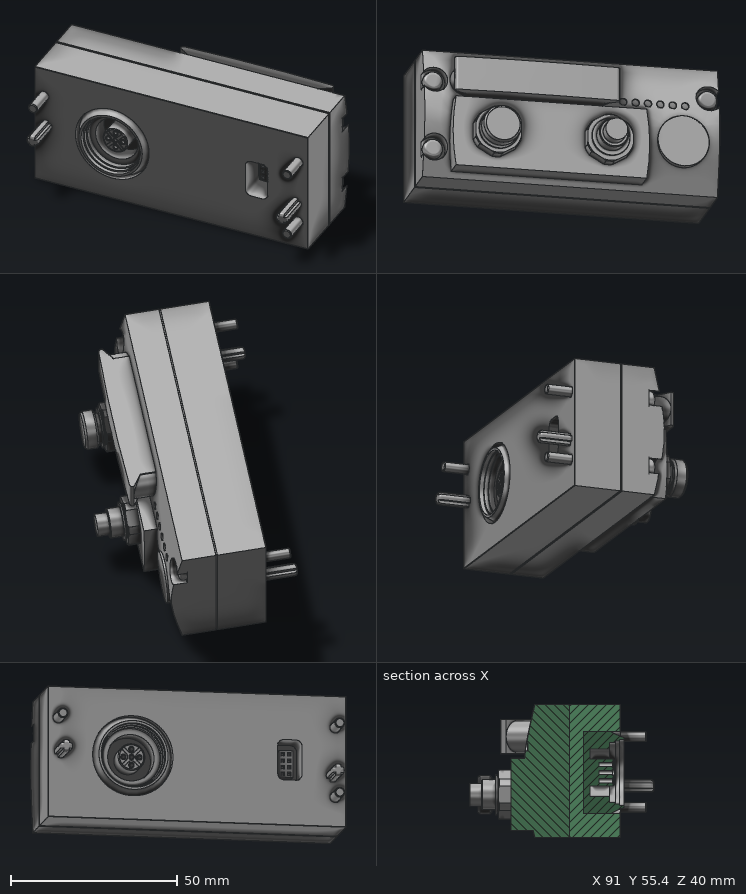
import cadquery as cq
import math


LENGTH = 91.0
HEIGHT = 40.0
BASE_DEPTH = 14.9
BASE_EDGE_CHAMFER = 0.14
SEAM_WIDTH = 0.5
SEAM_INSET = 0.2
COVER_START = BASE_DEPTH + SEAM_WIDTH
COVER_EDGE_Y = 25.75
COVER_CROWN_Y = 29.0
COVER_EDGE_SLOPE = 0.23
RAISED_ROOT_Y = 24.1

SCREW_PLACES = [(-42.4, 10.4), (42.2, 10.4), (42.2, -10.9)]
SCREW_DIAMETER = 3.0
SCREW_HOLE_DIAMETER = 3.3
SCREW_TIP_Y = -7.9
SCREW_TIP_CHAMFER = 0.3
SCREW_HEAD_DIAMETER = 6.0
SCREW_HEAD_HEIGHT = 2.3
SCREW_HEAD_RADIUS = 1.1
SCREW_SEAT_Y = 24.1
SCREW_RECESS_DIAMETER = 8.0

KEY_PLACES = [(-41.7, 0.0), (41.4, -4.5)]
KEY_SPAN = 3.8
KEY_ARM_WIDTH = 1.6
KEY_LENGTH = 10.1
KEY_TIP_RADIUS = 1.0
KEY_ROOT_Y = 0.9

HEADER_X = 28.4
HEADER_POCKET = (7.5, 12.4)
HEADER_POCKET_RADIUS = 2.0
HEADER_POCKET_DEPTH = 9.1
HEADER_BLOCK = (4.2, 8.2)
HEADER_BLOCK_HEIGHT = 2.7
HEADER_CONTACT_SIZE = 1.0
HEADER_CONTACT_DEPTH = 1.8
HEADER_COLUMNS = 2
HEADER_ROWS = 4
HEADER_PITCH = 2.0

SOCKET_X = -19.7
SOCKET_Z = -0.5
SOCKET_RADIUS = 12.3
SOCKET_SEAT_Y = 10.9
SOCKET_CONE_Y = 2.7
SOCKET_FACE_Y = -1.2
SOCKET_FACE_RADIUS = 10.6
SOCKET_MOUTH_RADIUS = 9.8
SOCKET_BORE_RADIUS = 8.9
SOCKET_MOUTH_Y = 0.2
SOCKET_STEP_RADIUS = 9.4
SOCKET_STEP_Y = 1.5
SOCKET_LEDGE_Y = 3.2
SOCKET_WELL_RADIUS = 7.1
SOCKET_WELL_Y = 9.1
INSERT_RADIUS = 4.1
INSERT_FACE_Y = 1.8
INSERT_CHAMFER = 0.4
CONTACT_PITCH_RADIUS = 2.5
OUTER_CONTACT_COUNT = 4
CONTACT_HOLE_DIAMETER = 1.1
CONTACT_MOUTH_DIAMETER = 1.6
CONTACT_HOLE_DEPTH = 4.55
CONTACT_MOUTH_DEPTH = 0.3
INSERT_RIB_WIDTH = 0.9
INSERT_RIB_HEIGHT = 0.3
INSERT_RIB_FILLET = 1.4

HOLDER_X_MIN = -13.4
HOLDER_X_MAX = 37.5
HOLDER_Z_MIN = 5.2
HOLDER_Z_MAX = 15.6
HOLDER_END_Y = 35.5
HOLDER_MIDDLE_Y = 36.0
HOLDER_LIP_Y = 34.3
HOLDER_LIP_LENGTH = 4.1
HOLDER_LIP_DROP = 2.7
HOLDER_END_WIDTH = 9.5
HOLDER_END_RADIUS = 1.1

BLOCK_X_MIN = -22.9
BLOCK_X_MAX = 37.7
BLOCK_Z_MIN = -17.9
BLOCK_Z_MAX = 3.9
BLOCK_TOP_Y = 32.9
BLOCK_END_BULGE = 0.9

DISC_X = -34.2
DISC_Z = -4.1
DISC_RADIUS = 7.9
DISC_TOP_Y = 29.6
DIMPLE_COUNT = 6
DIMPLE_START_X = -34.9
DIMPLE_PITCH = 3.8
DIMPLE_Z = 7.3
DIMPLE_DIAMETER = 2.3
DIMPLE_FLOOR_Y = 27.85

CONNECTOR_Z = -7.1
PLUG_X = -10.0
JACK_X = 24.5
NUT_ACROSS_FLATS = 14.0
NUT_CORNER_DIAMETER = 14.9
NUT_TOP_Y = 36.7
NUT_BEVEL = 0.3
WASHER_GROOVE_Y = 37.0
WASHER_GROOVE_RADIUS = 5.4
WASHER_TOP_Y = 37.6
PLUG_WASHER_RADIUS = 5.8
PLUG_COLLAR_RADIUS = 9.0 / 2
PLUG_COLLAR_Y = 41.7
PLUG_COLLAR_CHAMFER = 0.3
PLUG_TIP_RADIUS = 6.8 / 2
PLUG_TIP_Y = 45.3
JACK_WASHER_RADIUS = 6.1
JACK_NECK_RADIUS = 4.6
JACK_RING_Y = 38.6
JACK_RING_RADIUS = 5.8
JACK_RING_CHAMFER = 0.6
JACK_TOP_Y = 42.9


def cylinder(diameter, y_start, y_end, x=0.0, z=0.0):
    """Cylinder along Y between two depths."""
    profile = cq.Workplane("XZ", origin=(x, y_start, z)).circle(diameter / 2)
    return profile.extrude(y_start - y_end)


def box(x_limits, y_limits, z_limits):
    """Box between limits on each axis."""
    limits = (x_limits, y_limits, z_limits)
    size = [high - low for low, high in limits]
    corner = cq.Vector(*[low for low, high in limits])
    return cq.Workplane(obj=cq.Solid.makeBox(*size, pnt=corner))


def turned(profile):
    """Solid turned about the Y axis from (radius, y) points."""
    outline = cq.Workplane("XY").polyline(profile).close()
    return outline.revolve(360, (0, 0), (0, 1))


def key(x, z):
    """Cross-shaped key with a rounded tip."""
    post = cylinder(KEY_SPAN, -KEY_LENGTH, KEY_ROOT_Y).faces("<Y").edges().fillet(KEY_TIP_RADIUS)
    arms = (
        cq.Workplane("XZ", origin=(0, KEY_ROOT_Y, 0))
        .rect(KEY_SPAN, KEY_ARM_WIDTH)
        .extrude(KEY_LENGTH + KEY_ROOT_Y)
    )
    cross = arms.union(arms.rotate((0, 0, 0), (0, 1, 0), 90))
    return post.intersect(cross).translate((x, 0, z))


def header_pocket():
    """Round-cornered pocket for the plug-in header."""
    width, height = HEADER_POCKET
    pocket = box(
        (HEADER_X - width / 2, HEADER_X + width / 2),
        (0, HEADER_POCKET_DEPTH),
        (-height / 2, height / 2),
    )
    return pocket.edges("|Y").fillet(HEADER_POCKET_RADIUS)


def header_block():
    """Header standing on the pocket floor, with a grid of square contacts."""
    face_y = HEADER_POCKET_DEPTH - HEADER_BLOCK_HEIGHT
    width, height = HEADER_BLOCK
    block = box(
        (HEADER_X - width / 2, HEADER_X + width / 2),
        (face_y, HEADER_POCKET_DEPTH),
        (-height / 2, height / 2),
    )
    contacts = (
        cq.Workplane("XZ", origin=(HEADER_X, face_y, 0))
        .rarray(HEADER_PITCH, HEADER_PITCH, HEADER_COLUMNS, HEADER_ROWS)
        .rect(HEADER_CONTACT_SIZE, HEADER_CONTACT_SIZE)
        .extrude(-HEADER_CONTACT_DEPTH)
    )
    return block.cut(contacts)


def make_base():
    """Front half of the housing, with the coding keys and the header."""
    half_length = LENGTH / 2
    half_height = HEIGHT / 2
    base = box(
        (-half_length, half_length), (0, BASE_DEPTH), (-half_height, half_height)
    )
    base = base.faces("<Y").edges().chamfer(BASE_EDGE_CHAMFER)
    rim_length = half_length - SEAM_INSET
    rim_height = half_height - SEAM_INSET
    rim = box(
        (-rim_length, rim_length), (BASE_DEPTH, COVER_START), (-rim_height, rim_height)
    )
    base = base.union(rim)

    base = base.cut(cylinder(2 * SOCKET_RADIUS, 0, SOCKET_SEAT_Y, SOCKET_X, SOCKET_Z))
    base = base.cut(header_pocket()).union(header_block())
    for x, z in SCREW_PLACES:
        base = base.cut(cylinder(SCREW_HOLE_DIAMETER, 0, COVER_START, x, z))
    for x, z in KEY_PLACES:
        base = base.union(key(x, z))
    return base


def cover_shell():
    """Rear half of the housing, its back a smooth crown with nearly straight flanks."""
    half_height = HEIGHT / 2
    outline = (
        cq.Workplane("YZ", origin=(-LENGTH / 2, 0, 0))
        .moveTo(COVER_START, -half_height)
        .lineTo(COVER_EDGE_Y, -half_height)
        .spline(
            [(COVER_CROWN_Y, 0), (COVER_EDGE_Y, half_height)],
            tangents=[(COVER_EDGE_SLOPE, 1), (-COVER_EDGE_SLOPE, 1)],
            includeCurrent=True,
        )
        .lineTo(COVER_START, half_height)
        .close()
    )
    return outline.extrude(LENGTH)


def label_holder():
    """Bar with rounded ends under a flared, slightly arched plate."""
    middle_x = (HOLDER_X_MIN + HOLDER_X_MAX) / 2
    waist_y = HOLDER_LIP_Y - HOLDER_LIP_DROP
    outline = (
        cq.Workplane("XY", origin=(0, 0, HOLDER_Z_MIN))
        .moveTo(HOLDER_X_MIN + HOLDER_LIP_LENGTH, waist_y)
        .lineTo(HOLDER_X_MIN, HOLDER_LIP_Y)
        .lineTo(HOLDER_X_MIN, HOLDER_END_Y)
        .threePointArc((middle_x, HOLDER_MIDDLE_Y), (HOLDER_X_MAX, HOLDER_END_Y))
        .lineTo(HOLDER_X_MAX, HOLDER_LIP_Y)
        .lineTo(HOLDER_X_MAX - HOLDER_LIP_LENGTH, waist_y)
        .close()
    )
    plate = outline.extrude(HOLDER_Z_MAX - HOLDER_Z_MIN)
    end_corners = cq.selectors.BoxSelector(
        (HOLDER_X_MIN - 0.9, HOLDER_LIP_Y + HOLDER_END_RADIUS, HOLDER_Z_MIN - 0.9),
        (HOLDER_X_MAX + 0.9, HOLDER_MIDDLE_Y, HOLDER_Z_MAX + 0.9),
    )
    plate = plate.edges("|Z").edges(end_corners).fillet(HOLDER_END_RADIUS)

    bar = box(
        (HOLDER_X_MIN + HOLDER_LIP_LENGTH, HOLDER_X_MAX - HOLDER_LIP_LENGTH),
        (RAISED_ROOT_Y, HOLDER_LIP_Y),
        (HOLDER_Z_MIN, HOLDER_Z_MAX),
    )
    middle_z = (HOLDER_Z_MIN + HOLDER_Z_MAX) / 2
    round_ends = (
        cq.Workplane("XZ", origin=(middle_x, RAISED_ROOT_Y, middle_z))
        .slot2D(HOLDER_X_MAX - HOLDER_X_MIN, HOLDER_END_WIDTH)
        .extrude(RAISED_ROOT_Y - HOLDER_LIP_Y)
    )
    return plate.union(bar).union(round_ends)


def connector_block():
    """Block under the rear connectors, both ends slightly bulged."""
    middle_z = (BLOCK_Z_MIN + BLOCK_Z_MAX) / 2
    corner_x_min = BLOCK_X_MIN + BLOCK_END_BULGE
    corner_x_max = BLOCK_X_MAX - BLOCK_END_BULGE
    outline = (
        cq.Workplane("XZ", origin=(0, RAISED_ROOT_Y, 0))
        .moveTo(corner_x_min, BLOCK_Z_MIN)
        .lineTo(corner_x_max, BLOCK_Z_MIN)
        .threePointArc((BLOCK_X_MAX, middle_z), (corner_x_max, BLOCK_Z_MAX))
        .lineTo(corner_x_min, BLOCK_Z_MAX)
        .threePointArc((BLOCK_X_MIN, middle_z), (corner_x_min, BLOCK_Z_MIN))
        .close()
    )
    return outline.extrude(RAISED_ROOT_Y - BLOCK_TOP_Y)


def make_cover():
    """Rear half of the housing with everything that stands on it."""
    cover = cover_shell().union(label_holder()).union(connector_block())
    disc = cylinder(2 * DISC_RADIUS, RAISED_ROOT_Y, DISC_TOP_Y, DISC_X, DISC_Z)
    cover = cover.union(disc)

    for index in range(DIMPLE_COUNT):
        x = DIMPLE_START_X + index * DIMPLE_PITCH
        cover = cover.cut(cylinder(DIMPLE_DIAMETER, DIMPLE_FLOOR_Y, BLOCK_TOP_Y, x, DIMPLE_Z))
    for x, z in SCREW_PLACES:
        cover = cover.cut(cylinder(SCREW_RECESS_DIAMETER, SCREW_SEAT_Y, BLOCK_TOP_Y, x, z))
        cover = cover.cut(cylinder(SCREW_HOLE_DIAMETER, COVER_START, SCREW_SEAT_Y, x, z))
    return cover


def make_screw(x, z):
    """Screw through both housing halves, its head in the cover recess."""
    shank = cylinder(SCREW_DIAMETER, SCREW_TIP_Y, SCREW_SEAT_Y)
    shank = shank.faces("<Y").edges().chamfer(SCREW_TIP_CHAMFER)
    head = cylinder(SCREW_HEAD_DIAMETER, SCREW_SEAT_Y, SCREW_SEAT_Y + SCREW_HEAD_HEIGHT)
    head = head.faces(">Y").edges().fillet(SCREW_HEAD_RADIUS)
    return shank.union(head).translate((x, 0, z))


def contact_wells():
    """Shallow wells that leave an X-shaped rib on the insert face."""
    floor_y = INSERT_FACE_Y + INSERT_RIB_HEIGHT
    wells = cylinder(2 * (INSERT_RADIUS - INSERT_CHAMFER), INSERT_FACE_Y, floor_y)
    rib = (
        cq.Workplane("XZ", origin=(0, INSERT_FACE_Y, 0))
        .rect(2 * INSERT_RADIUS, INSERT_RIB_WIDTH)
        .extrude(-INSERT_RIB_HEIGHT)
        .rotate((0, 0, 0), (0, 1, 0), 45)
    )
    cross = rib.union(rib.rotate((0, 0, 0), (0, 1, 0), 90))
    inner_corners = cq.selectors.BoxSelector(
        (-INSERT_RIB_WIDTH, INSERT_FACE_Y, -INSERT_RIB_WIDTH),
        (INSERT_RIB_WIDTH, floor_y, INSERT_RIB_WIDTH),
    )
    cross = cross.edges("|Y").edges(inner_corners).fillet(INSERT_RIB_FILLET)
    return wells.cut(cross)


def make_socket():
    """Round socket with a five-contact insert in its well."""
    socket = turned(
        [
            (0, SOCKET_SEAT_Y),
            (SOCKET_RADIUS, SOCKET_SEAT_Y),
            (SOCKET_RADIUS, SOCKET_CONE_Y),
            (SOCKET_FACE_RADIUS, SOCKET_FACE_Y),
            (SOCKET_MOUTH_RADIUS, SOCKET_FACE_Y),
            (SOCKET_MOUTH_RADIUS, SOCKET_MOUTH_Y),
            (SOCKET_STEP_RADIUS, SOCKET_MOUTH_Y),
            (SOCKET_STEP_RADIUS, SOCKET_STEP_Y),
            (SOCKET_BORE_RADIUS, SOCKET_STEP_Y),
            (SOCKET_BORE_RADIUS, SOCKET_LEDGE_Y),
            (SOCKET_WELL_RADIUS, SOCKET_LEDGE_Y),
            (SOCKET_WELL_RADIUS, SOCKET_WELL_Y),
            (INSERT_RADIUS, SOCKET_WELL_Y),
            (INSERT_RADIUS, INSERT_FACE_Y + INSERT_CHAMFER),
            (INSERT_RADIUS - INSERT_CHAMFER, INSERT_FACE_Y),
            (0, INSERT_FACE_Y),
        ]
    )
    socket = socket.cut(contact_wells())
    hole_end_y = INSERT_FACE_Y + CONTACT_HOLE_DEPTH
    mouth_end_y = INSERT_FACE_Y + INSERT_RIB_HEIGHT + CONTACT_MOUTH_DEPTH
    contacts = [(0, 0)]
    for index in range(OUTER_CONTACT_COUNT):
        angle = index * 2 * math.pi / OUTER_CONTACT_COUNT
        contacts.append(
            (CONTACT_PITCH_RADIUS * math.cos(angle), CONTACT_PITCH_RADIUS * math.sin(angle))
        )
    for x, z in contacts:
        socket = socket.cut(cylinder(CONTACT_MOUTH_DIAMETER, INSERT_FACE_Y, mouth_end_y, x, z))
        socket = socket.cut(cylinder(CONTACT_HOLE_DIAMETER, INSERT_FACE_Y, hole_end_y, x, z))
    return socket.translate((SOCKET_X, 0, SOCKET_Z))


def connector_nut():
    """Hexagonal nut on the connector block, flats facing along X, its corners turned round."""
    nut = (
        cq.Workplane("XZ", origin=(0, BLOCK_TOP_Y, 0))
        .polygon(6, NUT_ACROSS_FLATS, circumscribed=True)
        .extrude(BLOCK_TOP_Y - NUT_TOP_Y)
    )
    turned_limit = cylinder(NUT_CORNER_DIAMETER, BLOCK_TOP_Y, NUT_TOP_Y)
    turned_limit = turned_limit.faces(">Y").edges().chamfer(NUT_BEVEL)
    return nut.intersect(turned_limit)


def washer_profile(radius):
    """Half outline of a washer with a groove under it, from the nut upwards."""
    return [
        (0, NUT_TOP_Y),
        (WASHER_GROOVE_RADIUS, NUT_TOP_Y),
        (WASHER_GROOVE_RADIUS, WASHER_GROOVE_Y),
        (radius, WASHER_GROOVE_Y),
        (radius, WASHER_TOP_Y),
    ]


def make_plug():
    """Stepped rear connector."""
    body = turned(
        washer_profile(PLUG_WASHER_RADIUS)
        + [
            (PLUG_COLLAR_RADIUS, WASHER_TOP_Y),
            (PLUG_COLLAR_RADIUS, PLUG_COLLAR_Y - PLUG_COLLAR_CHAMFER),
            (PLUG_COLLAR_RADIUS - PLUG_COLLAR_CHAMFER, PLUG_COLLAR_Y),
            (PLUG_TIP_RADIUS, PLUG_COLLAR_Y),
            (PLUG_TIP_RADIUS, PLUG_TIP_Y),
            (0, PLUG_TIP_Y),
        ]
    )
    return connector_nut().union(body).translate((PLUG_X, 0, CONNECTOR_Z))


def make_jack():
    """Rear connector with a wide ring on a narrower neck."""
    body = turned(
        washer_profile(JACK_WASHER_RADIUS)
        + [
            (JACK_NECK_RADIUS, WASHER_TOP_Y),
            (JACK_NECK_RADIUS, JACK_RING_Y),
            (JACK_RING_RADIUS - JACK_RING_CHAMFER, JACK_RING_Y),
            (JACK_RING_RADIUS, JACK_RING_Y + JACK_RING_CHAMFER),
            (JACK_RING_RADIUS, JACK_TOP_Y - JACK_RING_CHAMFER),
            (JACK_RING_RADIUS - JACK_RING_CHAMFER, JACK_TOP_Y),
            (0, JACK_TOP_Y),
        ]
    )
    return connector_nut().union(body).translate((JACK_X, 0, CONNECTOR_Z))


base = make_base()
cover = make_cover()
socket = make_socket()
plug = make_plug()
jack = make_jack()
screws = [make_screw(x, z).val() for x, z in SCREW_PLACES]

result = cq.Compound.makeCompound(
    [base.val(), cover.val(), socket.val(), plug.val(), jack.val(), *screws]
)